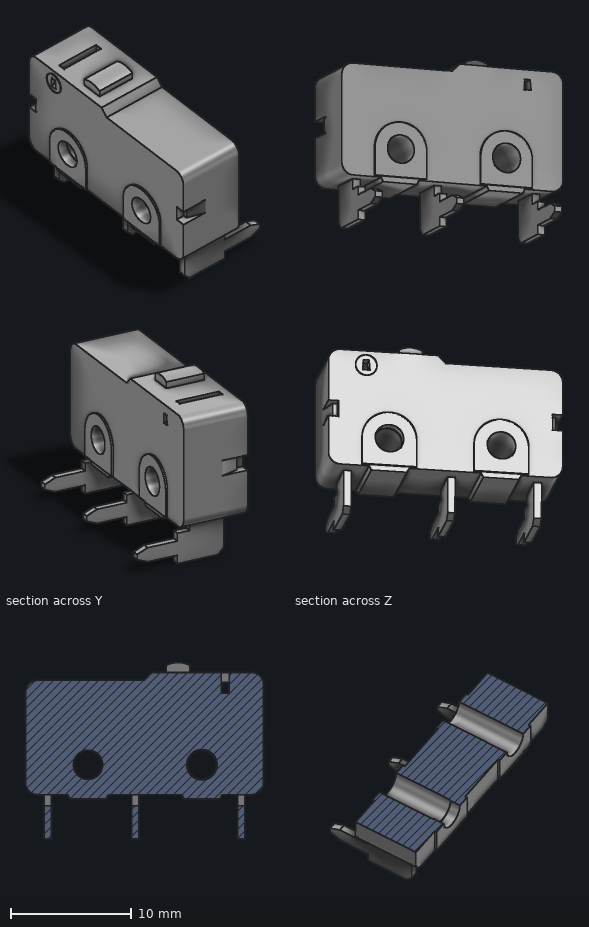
import cadquery as cq


overall_height = 14.7

length = 19.8
depth = 6.05
tall_height = 10.18
low_height = 9.52
step_start_x = 9.29
corner_radius = 0.99

cover_depth = 0.77

hole_centers_x = (5.13, 14.6)
hole_z = 2.5
hole_diameter = 2.4
relief_diameter = 2.5
pad_width = 4.61
pad_bottom_z = 0.12
pad_thickness = 0.18
foot_top_width = 3.4
foot_bottom_width = 3.0
foot_height = 0.35

plunger_x = 7.1
plunger_width = 1.98
plunger_front_y = 0.8
plunger_back_y = 4.38
plunger_shoulder_z = 10.77
plunger_crown_z = 11.0

window_x = 3.19
window_bottom_z = 8.45
window_top_z = 9.35
window_bottom_width = 0.63
window_top_width = 0.48
slot_width = window_bottom_width
slot_front_y = 0.83
slot_back_y = 4.85
boss_diameter = 1.8
boss_height = 0.05

notch_bottom_z = 4.22
notch_top_z = 5.6
notch_front_width = 0.87
notch_ramp_width = 0.5
notch_back_y = 2.4

terminals = ((1.86, 0.65), (10.65, 0.61), (17.94, 0.65))
terminal_front_y = 1.43
terminal_neck_y = 4.65
terminal_shoulder_y = 5.82
terminal_shoulder_z = -0.9
terminal_bottom_z = plunger_crown_z - overall_height
terminal_chamfer = 0.53
pin_tip_y = 9.62
pin_taper_length = 0.99
pin_center_z = -2.25
pin_width = 1.3
pin_tip_width = 0.5


def extrude_y(points, front_y, back_y):
    """Extrude a closed outline of (x, z) points from front_y to back_y."""
    plane = cq.Workplane("XZ", origin=(0, front_y, 0))
    return plane.polyline(points).close().extrude(front_y - back_y)


def cylinder_y(x, z, diameter, front_y, back_y):
    """Cylinder along Y around (x, z)."""
    plane = cq.Workplane("XZ", origin=(x, front_y, z))
    return plane.circle(diameter / 2).extrude(front_y - back_y)


def make_housing():
    """Rounded block whose top drops through a 45 degree step."""
    step_end_x = step_start_x + tall_height - low_height
    outline = [
        (0, 0),
        (length, 0),
        (length, low_height),
        (step_end_x, low_height),
        (step_start_x, tall_height),
        (0, tall_height),
    ]
    block = extrude_y(outline, 0, depth)
    return block.edges("|Y and (<X or >X)").fillet(corner_radius)


def make_pad(center_x):
    """Arched pad standing proud of both the front and back faces."""
    half_width = pad_width / 2
    return (
        cq.Workplane("XZ", origin=(center_x, -pad_thickness, 0))
        .moveTo(-half_width, pad_bottom_z)
        .lineTo(half_width, pad_bottom_z)
        .lineTo(half_width, hole_z)
        .threePointArc((0, hole_z + half_width), (-half_width, hole_z))
        .close()
        .extrude(-(depth + 2 * pad_thickness))
    )


def make_foot(center_x):
    """Tapered foot across the full depth of the housing."""
    outline = [
        (center_x - foot_top_width / 2, 0),
        (center_x - foot_bottom_width / 2, -foot_height),
        (center_x + foot_bottom_width / 2, -foot_height),
        (center_x + foot_top_width / 2, 0),
    ]
    return extrude_y(outline, 0, depth)


def make_plunger():
    """Push button with a crowned top."""
    left_x = plunger_x - plunger_width / 2
    right_x = plunger_x + plunger_width / 2
    return (
        cq.Workplane("XZ", origin=(0, plunger_front_y, 0))
        .moveTo(left_x, tall_height)
        .lineTo(left_x, plunger_shoulder_z)
        .threePointArc((plunger_x, plunger_crown_z), (right_x, plunger_shoulder_z))
        .lineTo(right_x, tall_height)
        .close()
        .extrude(plunger_front_y - plunger_back_y)
    )


def make_window():
    """Tapered opening through the whole depth, including the boss."""
    outline = [
        (window_x - window_bottom_width / 2, window_bottom_z),
        (window_x + window_bottom_width / 2, window_bottom_z),
        (window_x + window_top_width / 2, window_top_z),
        (window_x - window_top_width / 2, window_top_z),
    ]
    return extrude_y(outline, -boss_height, depth)


def make_slot():
    """Slot from the top face down to the window floor."""
    slot = cq.Workplane("XY").box(
        slot_width,
        slot_back_y - slot_front_y,
        tall_height - window_bottom_z,
        centered=(True, False, False),
    )
    return slot.translate((window_x, slot_front_y, window_bottom_z))


def make_left_notch():
    """Square notch in the cover, followed by a ramp running out at the end face."""
    outline = [
        (0, 0),
        (notch_front_width, 0),
        (notch_front_width, cover_depth),
        (notch_ramp_width, cover_depth),
        (0, notch_back_y),
    ]
    plane = cq.Workplane("XY", origin=(0, 0, notch_bottom_z))
    return plane.polyline(outline).close().extrude(notch_top_z - notch_bottom_z)


def make_terminal(center_x, thickness):
    """Flat angled terminal with a tapered pin pointing backward."""
    taper_start_y = pin_tip_y - pin_taper_length
    outline = [
        (terminal_front_y, 0),
        (terminal_neck_y, 0),
        (terminal_neck_y, terminal_shoulder_z),
        (terminal_shoulder_y, terminal_shoulder_z),
        (terminal_shoulder_y, pin_center_z + pin_width / 2),
        (taper_start_y, pin_center_z + pin_width / 2),
        (pin_tip_y, pin_center_z + pin_tip_width / 2),
        (pin_tip_y, pin_center_z - pin_tip_width / 2),
        (taper_start_y, pin_center_z - pin_width / 2),
        (terminal_shoulder_y, pin_center_z - pin_width / 2),
        (terminal_shoulder_y, terminal_bottom_z),
        (terminal_front_y + terminal_chamfer, terminal_bottom_z),
        (terminal_front_y, terminal_bottom_z + terminal_chamfer),
    ]
    plane = cq.Workplane("YZ", origin=(center_x - thickness / 2, 0, 0))
    return plane.polyline(outline).close().extrude(thickness)


boss_z = (window_bottom_z + window_top_z) / 2
part = make_housing()
part = part.union(make_plunger())
part = part.union(cylinder_y(window_x, boss_z, boss_diameter, -boss_height, 0))
for hole_x in hole_centers_x:
    part = part.union(make_pad(hole_x))
    part = part.union(make_foot(hole_x))
for terminal_x, terminal_thickness in terminals:
    part = part.union(make_terminal(terminal_x, terminal_thickness))

back_pad_y = depth + pad_thickness
for hole_x in hole_centers_x:
    part = part.cut(cylinder_y(hole_x, hole_z, hole_diameter, -pad_thickness, back_pad_y))
part = part.cut(cylinder_y(hole_centers_x[0], hole_z, relief_diameter, cover_depth, back_pad_y))

part = part.cut(make_window())
part = part.cut(make_slot())
left_notch = make_left_notch()
part = part.cut(left_notch)
part = part.cut(left_notch.mirror("YZ", (length / 2, 0, 0)))

result = part